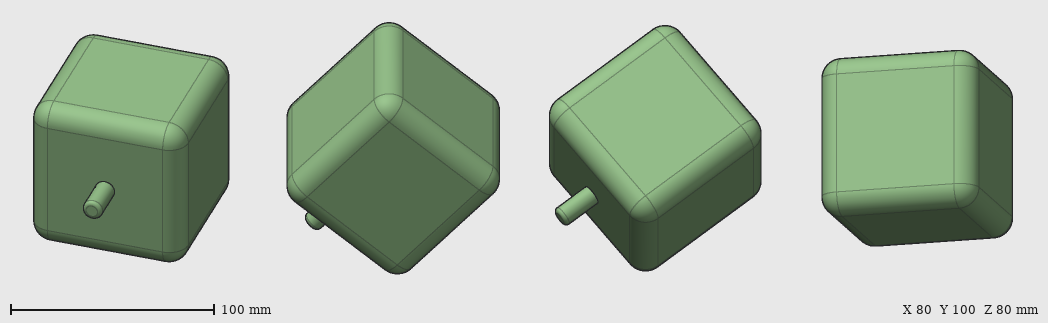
import cadquery as cq

cube_side = 80.0
cube_radius = 10.0
pin_diameter = 10.0
pin_length = 20.0
pin_tip_radius = 2.0

front_y = -cube_side / 2


def rounded_cube():
    """Cube centred on the origin with every edge rounded."""
    return cq.Workplane("XY").box(cube_side, cube_side, cube_side).edges().fillet(cube_radius)


def pin():
    """Cylinder running from the front face toward -Y, rounded at its tip."""
    return (
        cq.Workplane("XZ", origin=(0, front_y, 0))
        .circle(pin_diameter / 2)
        .extrude(pin_length)
        .faces("<Y")
        .edges()
        .fillet(pin_tip_radius)
    )


result = rounded_cube().union(pin())